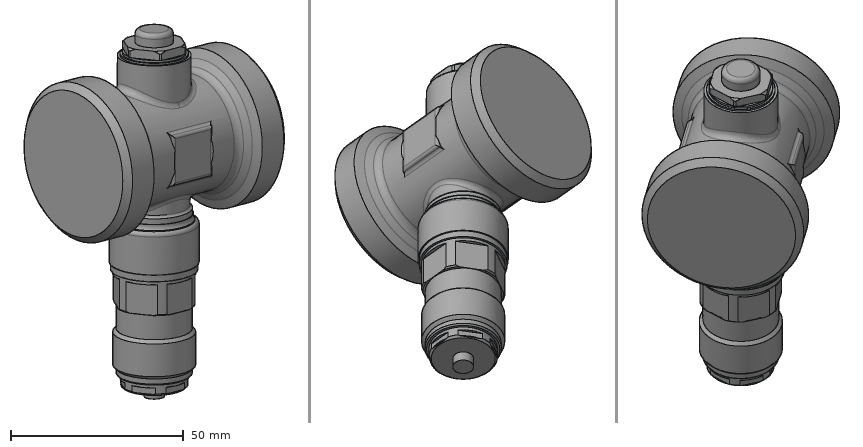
import cadquery as cq
import math

body_length = 62.0
body_radius = 17.5
flange_diameter = 47.6
flange_radius = flange_diameter / 2
flange_chamfer = 2.0
flange_inner_y = 20.7
flange_cone_break_y = 19.4
flange_cone_outer_angle = math.radians(65)
flange_cone_inner_angle = math.radians(55)
flange_root_radius = 3.0
flange_root_end_radius = body_radius + flange_root_radius * (1 - math.cos(flange_cone_inner_angle))

pad_face_x = 17.2
pad_face_half = 6.7
pad_edge_radius = 1.0
pad_root_radius = 1.6
pad_core_x = 11.1

boss_radius = 10.7
boss_root_radius = 2.0
boss_shoulder_z = 26.6
boss_collar_z = 27.2
boss_collar_radius = 9.9
hex_seat_radius = 9.3
upper_hex_base_z = 27.9
upper_hex_top_z = 30.5
upper_hex_flats = 16.9
upper_hex_radius = 9.6
upper_hex_chamfer = 0.7
button_radius = 5.6
button_top_z = 34.5
button_round = 1.5

neck_radius = 10.4
neck_root_radius = 1.8
upper_step_top_z = -18.5
upper_step_rim_z = -19.6
upper_step_radius = 11.1
lower_step_inner_radius = 11.4
lower_step_top_z = -21.3
lower_step_rim_z = -23.0
lower_step_radius = 11.8

nut_radius = 13.0
nut_top_z = -23.3
nut_round = 1.2
nut_bottom_z = -36.1
band_radius = 12.7
band_bottom_z = -38.2

lower_hex_radius = 12.1
lower_hex_flats = 22.3
lower_hex_top_z = -39.3
lower_hex_bottom_z = -48.8
lower_hex_chamfer = 0.5
shaft_radius = 11.0
shaft_bottom_z = -70.2
shaft_chamfer = 0.5
sleeve_radius = 12.0
sleeve_top_z = -56.3
sleeve_bottom_z = -68.2
sleeve_chamfer = 1.0

end_hex_radius = 9.9
end_hex_flats = 18.5
end_hex_flat_top_z = -71.3
end_hex_flat_bottom_z = -73.3
end_hex_bottom_z = -73.8
end_hex_chamfer = 0.7
stem_radius = 3.0
stem_bottom_z = -76.9


def cylinder(radius, bottom_z, top_z):
    return cq.Workplane("XY").workplane(offset=bottom_z).circle(radius).extrude(top_z - bottom_z)


def cut_hexagon(round_part, flats, bottom_z, top_z):
    """Cut six flats on a round part between two heights, two of them facing +X and -X."""
    corner_diameter = flats / math.cos(math.pi / 6)
    height = top_z - bottom_z
    prism = cq.Workplane("XY").polygon(6, corner_diameter).extrude(height)
    prism = prism.rotate((0, 0, 0), (0, 0, 1), 30).translate((0, 0, bottom_z))
    surround = cylinder(flats, bottom_z, top_z).cut(prism)
    return round_part.cut(surround)


def join(first, *others):
    for other in others:
        first = first.union(other)
    return first


def make_body():
    """Revolve half of the flanged bar about Y and mirror it."""
    end_y = body_length / 2
    outer_cone_length = flange_inner_y - flange_cone_break_y
    break_radius = flange_radius - outer_cone_length * math.tan(flange_cone_outer_angle)
    inner_cone_rise = break_radius - flange_root_end_radius
    root_end_y = flange_cone_break_y - inner_cone_rise / math.tan(flange_cone_inner_angle)
    root_start_y = root_end_y - flange_root_radius * math.sin(flange_cone_inner_angle)
    half_angle = flange_cone_inner_angle / 2
    root_middle = (
        body_radius + flange_root_radius * (1 - math.cos(half_angle)),
        root_start_y + flange_root_radius * math.sin(half_angle),
    )
    half = (
        cq.Workplane("XY")
        .lineTo(body_radius, 0)
        .lineTo(body_radius, root_start_y)
        .threePointArc(root_middle, (flange_root_end_radius, root_end_y))
        .lineTo(break_radius, flange_cone_break_y)
        .lineTo(flange_radius, flange_inner_y)
        .lineTo(flange_radius, end_y - flange_chamfer)
        .lineTo(flange_radius - flange_chamfer, end_y)
        .lineTo(0, end_y)
        .close()
        .revolve(360, (0, 0, 0), (0, 1, 0))
    )
    return half.union(half.mirror("XZ"))


def add_branch(body, radius, root_radius, tip_z):
    """Join a round branch along Z to the body and round the joint between them."""
    branch = cylinder(radius, min(0, tip_z), max(0, tip_z))
    joint_reach = radius + root_radius
    joint_top_z = math.copysign(body_radius + root_radius, tip_z)
    joint_foot_z = math.copysign(math.sqrt(body_radius**2 - joint_reach**2), tip_z)
    joint = cq.selectors.BoxSelector(
        (-joint_reach, -joint_reach, joint_foot_z),
        (joint_reach, joint_reach, joint_top_z),
    )
    return body.union(branch).edges(joint).fillet(root_radius)


def point_towards(start, target, distance):
    """Point at a given distance from the start along the line to the target."""
    fraction = distance / math.dist(start, target)
    return tuple(a + (b - a) * fraction for a, b in zip(start, target))


def pad_ridge(plane):
    """Flat-topped ridge whose rounded edges run through hollow roots into the body surface.

    Each hollow root touches both the rounded edge and the body circle.
    """
    edge_centre = (pad_face_x - pad_edge_radius, pad_face_half)
    edge_to_root = pad_edge_radius + pad_root_radius
    axis_to_root = body_radius + pad_root_radius
    axis_to_edge = math.hypot(*edge_centre)
    cosine = (axis_to_edge**2 + axis_to_root**2 - edge_to_root**2) / (2 * axis_to_edge * axis_to_root)
    root_angle = math.atan2(edge_centre[1], edge_centre[0]) + math.acos(cosine)
    root_centre = (axis_to_root * math.cos(root_angle), axis_to_root * math.sin(root_angle))

    face_end = (pad_face_x, pad_face_half)
    join_point = point_towards(edge_centre, root_centre, pad_edge_radius)
    foot = point_towards((0, 0), root_centre, body_radius)
    edge_chord_middle = ((face_end[0] + join_point[0]) / 2, (face_end[1] + join_point[1]) / 2)
    root_chord_middle = ((join_point[0] + foot[0]) / 2, (join_point[1] + foot[1]) / 2)
    edge_middle = point_towards(edge_centre, edge_chord_middle, pad_edge_radius)
    root_middle = point_towards(root_centre, root_chord_middle, pad_root_radius)

    half = (
        cq.Workplane(plane)
        .moveTo(pad_core_x, 0)
        .lineTo(pad_face_x, 0)
        .lineTo(*face_end)
        .threePointArc(edge_middle, join_point)
        .threePointArc(root_middle, foot)
        .lineTo(pad_core_x, foot[1])
        .close()
        .extrude(body_radius, both=True)
    )
    return half.union(half.rotate((0, 0, 0), (1, 0, 0), 180))


def add_pads(body):
    """Sink a round-bottomed recess to each pad face, then add the pads, whose corners stand proud."""
    pad = pad_ridge("XY").intersect(pad_ridge("XZ"))
    recess_half_side = pad_face_half + pad_edge_radius
    recess = (
        cq.Workplane("YZ")
        .workplane(offset=pad_face_x)
        .rect(2 * recess_half_side, 2 * recess_half_side)
        .extrude(2 * pad_edge_radius)
        .faces("<X")
        .edges("|Z")
        .fillet(pad_edge_radius)
    )
    body = body.cut(recess).cut(recess.mirror("YZ"))
    return join(body, pad, pad.mirror("YZ"))


def make_upper_fitting():
    collar = cylinder(boss_collar_radius, boss_shoulder_z, boss_collar_z)
    seat = cylinder(hex_seat_radius, boss_collar_z, upper_hex_base_z)
    nut = cylinder(upper_hex_radius, upper_hex_base_z, upper_hex_top_z).faces(">Z").chamfer(upper_hex_chamfer)
    nut = cut_hexagon(nut, upper_hex_flats, upper_hex_base_z, upper_hex_top_z)
    button = cylinder(button_radius, upper_hex_top_z, button_top_z).faces(">Z").edges().fillet(button_round)
    return join(collar, seat, nut, button)


def cove_step(inner_radius, outer_radius, top_z, rim_z):
    """Collar reaching down to the nut, with a hollow curve from the inner radius out to its rim."""
    bend = math.sqrt(0.5)
    middle = (
        outer_radius - (outer_radius - inner_radius) * bend,
        top_z - (top_z - rim_z) * bend,
    )
    return (
        cq.Workplane("XZ")
        .moveTo(0, top_z)
        .lineTo(inner_radius, top_z)
        .threePointArc(middle, (outer_radius, rim_z))
        .lineTo(outer_radius, nut_top_z)
        .lineTo(0, nut_top_z)
        .close()
        .revolve(360, (0, 0, 0), (0, 1, 0))
    )


def make_neck_steps():
    upper = cove_step(neck_radius, upper_step_radius, upper_step_top_z, upper_step_rim_z)
    lower = cove_step(lower_step_inner_radius, lower_step_radius, lower_step_top_z, lower_step_rim_z)
    return join(upper, lower)


def make_union_nut():
    nut = cylinder(nut_radius, nut_bottom_z, nut_top_z).faces(">Z").edges().fillet(nut_round)
    band = cylinder(band_radius, band_bottom_z, nut_bottom_z)
    return join(nut, band)


def make_shaft():
    hexagon = cylinder(lower_hex_radius, lower_hex_bottom_z, band_bottom_z)
    hexagon = hexagon.faces("<Z").chamfer(lower_hex_chamfer)
    hexagon = cut_hexagon(hexagon, lower_hex_flats, lower_hex_bottom_z, lower_hex_top_z)
    shaft = cylinder(shaft_radius, shaft_bottom_z, lower_hex_bottom_z).faces("<Z").chamfer(shaft_chamfer)
    sleeve = cylinder(sleeve_radius, sleeve_bottom_z, sleeve_top_z).faces("<Z or >Z").chamfer(sleeve_chamfer)
    return join(hexagon, shaft, sleeve)


def make_lower_end():
    end = cylinder(end_hex_radius, end_hex_bottom_z, shaft_bottom_z).faces("<Z").chamfer(end_hex_chamfer)
    end = cut_hexagon(end, end_hex_flats, end_hex_flat_bottom_z, end_hex_flat_top_z)
    stem = cylinder(stem_radius, stem_bottom_z, end_hex_bottom_z)
    return join(end, stem)


body = make_body()
body = add_branch(body, boss_radius, boss_root_radius, boss_shoulder_z)
body = add_branch(body, neck_radius, neck_root_radius, nut_top_z)
body = add_pads(body)
result = join(
    body,
    make_upper_fitting(),
    make_neck_steps(),
    make_union_nut(),
    make_shaft(),
    make_lower_end(),
)